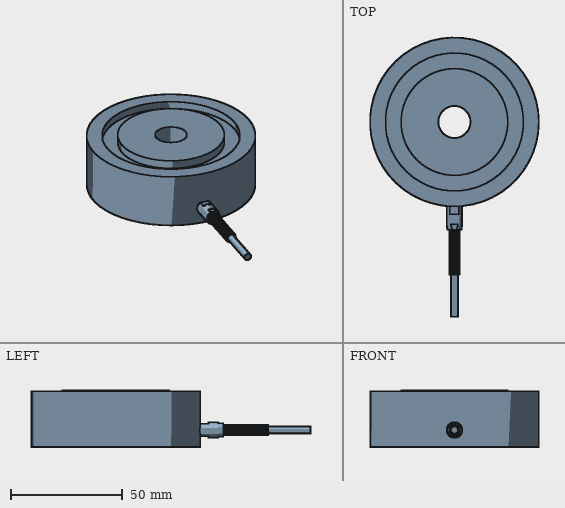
import cadquery as cq

body_diameter = 75.7
body_height = 25.0
recess_diameter = 61.8
recess_depth = 3.5
pad_diameter = 47.8
pad_rise = 0.4
bore_diameter = 14.3

outlet_height = 7.6
embed_depth = 2.5
gland_diameter = 7.0
gland_tip_diameter = 6.5
wrench_flat_width = 5.8
tip_flat_width = 6.3
wrench_flats_end = 41.4
tip_flats_start = 45.8
taper_start = 46.1
gland_end = 48.2

spring_start = 48.1
spring_end = 68.3
spring_diameter = 4.8
coil_count = 47

cable_diameter = 3.3
overall_length = 125.2

body_radius = body_diameter / 2
cable_end = overall_length - body_radius
outlet_start = body_radius - embed_depth


def outlet_plane(distance):
    """Plane across the cable axis, facing -Y, at a distance from the body axis."""
    return cq.Workplane("XZ", origin=(0, -distance, outlet_height))


def make_body():
    body = cq.Workplane("XY").circle(body_radius).extrude(body_height)
    recess_floor = cq.Workplane("XY", origin=(0, 0, body_height - recess_depth))
    recess = recess_floor.circle(recess_diameter / 2).extrude(recess_depth)
    pad = recess_floor.circle(pad_diameter / 2).extrude(recess_depth + pad_rise)
    bore = cq.Workplane("XY").circle(bore_diameter / 2).extrude(body_height + pad_rise)
    return body.cut(recess).union(pad).cut(bore)


def two_flats(start, end, width_across):
    """Slab that trims a round stretch of the gland to flats above and below."""
    return outlet_plane(start).rect(gland_diameter, width_across).extrude(end - start)


def make_gland():
    """Round fitting with wrench flats at the body and a tapered, flattened tip."""
    profile = [
        (0, -outlet_start),
        (gland_diameter / 2, -outlet_start),
        (gland_diameter / 2, -taper_start),
        (gland_tip_diameter / 2, -gland_end),
        (0, -gland_end),
    ]
    turned = cq.Workplane("XY").polyline(profile).close().revolve(360, (0, 0), (0, 1))
    turned = turned.translate((0, 0, outlet_height))
    neck = two_flats(outlet_start, wrench_flats_end, wrench_flat_width)
    barrel = two_flats(wrench_flats_end, tip_flats_start, gland_diameter)
    tip = two_flats(tip_flats_start, gland_end, tip_flat_width)
    return turned.intersect(neck.union(barrel).union(tip))


def make_spring():
    """Bend-protection spring, closely coiled: a stack of rings, each one wire thick."""
    outer_radius = spring_diameter / 2
    wire_diameter = (spring_end - spring_start) / coil_count
    coil_radius = outer_radius - wire_diameter / 2
    profile = cq.Workplane("XY").moveTo(0, -spring_start).lineTo(coil_radius, -spring_start)
    for coil in range(coil_count):
        start = spring_start + coil * wire_diameter
        profile = profile.threePointArc(
            (outer_radius, -start - wire_diameter / 2),
            (coil_radius, -start - wire_diameter),
        )
    profile = profile.lineTo(0, -spring_end).close()
    return profile.revolve(360, (0, 0), (0, 1)).translate((0, 0, outlet_height))


def make_cable():
    return outlet_plane(gland_end).circle(cable_diameter / 2).extrude(cable_end - gland_end)


result = make_body().union(make_gland()).union(make_spring()).union(make_cable())